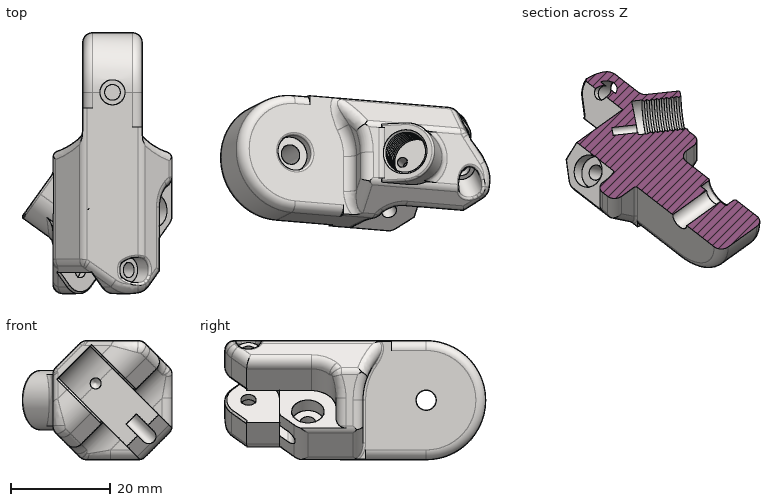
import cadquery as cq
import math

HEIGHT = 24.0
LENGTH = 52.5
HALF = HEIGHT / 2
FRONT_Y = HALF - LENGTH
BODY_CHAMFER = HALF / 2
DIAGONAL = (2 * HALF - BODY_CHAMFER) / math.sqrt(2)
EDGE_FILLET = 2.0
FLAT_HALF = BODY_CHAMFER - EDGE_FILLET * math.tan(math.pi / 8)

TAB_HALF = HALF / 2
TAB_ROOT = 15.75
LEFT_CLEARANCE_R = 12.5
LEFT_ROOT_FILLET = EDGE_FILLET
RIGHT_CLEARANCE_R = 12.7
RIGHT_ROOT_FILLET = 0.5
TAB_HOLE_R = 2.0
TAB_BORE_R = 3.55
TAB_BORE_DEPTH = 2.5
TOP_BORE_R = 2.5
TOP_BORE_DEPTH = 6.0
TOP_PILOT_R = 1.6
TOP_PILOT_DEPTH = 8.0
HOLE_RIM = 0.45

EAR_TIP_R = 4.8
PIN_V = -4.6
PIN_Y = FRONT_Y + EAR_TIP_R
FLANK_V = 1.8
FLANK_ARC_R = 5.0
FLANK_ARC_Y = -23.1
EAR_RIM = 0.4
GROOVE_HALF = 4.5
POCKET_R = 6.25
FLOOR_Y = PIN_Y + POCKET_R
PIN_HOLE_R = 1.5
PIN_HEAD_R = 2.5
TOP_HEAD_SEAT = 9.25
LEFT_HEAD_SEAT = 6.0

RAMP_V = 8.6
RAMP_BLEND_R = 4.0
SLOT_START_V = 5.35
SLOT_R = 1.45
SLOT_DEPTH = 3.15
TONGUE_HOLE_V = 7.7
TONGUE_HOLE_Y = -23.8
TONGUE_HOLE_R = 1.5
TONGUE_BORE_R = 3.25
TONGUE_BORE_DEPTH = 3.0
FLOOR_HOLE_V = -4.8
FLOOR_HOLE_R = 1.1
FLOOR_HOLE_DEPTH = 5.0

PORT_ANGLE = 35.6
PORT_R = BODY_CHAMFER
PORT_X = -14.8
PORT_Y = -20.25
PORT_RIM = 0.4
PORT_LENGTH = 8.9
PORT_WEB = 5.15
PORT_FILLET = 1.75
THREAD_R = 4.5
THREAD_DEPTH = 0.4
THREAD_PITCH = 1.0
THREAD_TURNS = 8
BORE_DEPTH = 9.95
DUCT_R = 1.0
DUCT_OFFSET = 2.95
DUCT_DEPTH = 5.0

FAR = 2 * LENGTH
TOUCH = 0.01
PARALLEL = 0.999
SIN45 = math.sqrt(0.5)


def clevis_plane(u):
    """Plane across the ears: local x is v, local y is Y, normal is u."""
    return cq.Plane(origin=(u * SIN45, 0, u * SIN45), xDir=(1, 0, -1), normal=(1, 0, 1))


def clevis_point(v, y):
    """Point in the middle plane of the clevis."""
    return (v * SIN45, y, -v * SIN45)


def u_of(point):
    return (point.x + point.z) * SIN45


def v_of(point):
    return (point.x - point.z) * SIN45


def edge_points(edge):
    """Points near both ends and in the middle of an edge."""
    return [edge.positionAt(place) for place in (0.05, 0.5, 0.95)]


def fillet_where(solid, test, radius):
    edges = [edge for edge in solid.edges().vals() if test(edge)]
    return solid.newObject(edges).fillet(radius)


def across_ears(v, y, radius, start, end):
    """Cylinder along u from start to end."""
    return cq.Workplane(clevis_plane(start)).center(v, y).circle(radius).extrude(end - start)


def octagon_bar():
    blank = cq.Workplane("XZ").rect(HEIGHT, HEIGHT).extrude(-FRONT_Y)
    return blank.edges("|Y").chamfer(BODY_CHAMFER)


TIP_SLANT = EAR_TIP_R * SIN45
SLANT_Y = PIN_Y - TIP_SLANT
SLANT_LEFT_V = PIN_V - TIP_SLANT
SLANT_RIGHT_V = PIN_V + TIP_SLANT
FLANK_CORNER_Y = SLANT_Y + FLANK_V - SLANT_RIGHT_V


def ear_nose(u):
    """Open outline up the left slant, round the tip, to the start of the right slant."""
    return (
        cq.Workplane(clevis_plane(u))
        .moveTo(-FAR, FAR)
        .lineTo(-FAR, SLANT_Y + SLANT_LEFT_V + FAR)
        .lineTo(SLANT_LEFT_V, SLANT_Y)
        .threePointArc((PIN_V, FRONT_Y), (SLANT_RIGHT_V, SLANT_Y))
    )


def ear_profile():
    """Side shape of the ears: the nose, then a flank set back by a concave arc."""
    arc_v = FLANK_V + FLANK_ARC_R
    arc_reach = FLANK_ARC_R * SIN45
    step_y = FLANK_ARC_Y + FLANK_ARC_R
    return (
        ear_nose(-FAR)
        .lineTo(FLANK_V, FLANK_CORNER_Y)
        .lineTo(FLANK_V, FLANK_ARC_Y)
        .threePointArc((arc_v - arc_reach, FLANK_ARC_Y + arc_reach), (arc_v, step_y))
        .lineTo(FAR, step_y)
        .lineTo(FAR, FAR)
        .close()
        .extrude(2 * FAR)
    )


def is_ear_rim(edge):
    """True where the ear profile meets the outside of the bar."""
    middle = edge.Center()
    direction = edge.tangentAt(0.5)
    at_rear = middle.y > -TOUCH
    long_corner = abs(direction.y) > PARALLEL and edge.Length() > TAB_ROOT
    spans_ears = abs(u_of(direction)) > PARALLEL and abs(u_of(middle)) < TOUCH
    on_corner_flat = abs(v_of(middle)) > DIAGONAL - TOUCH
    return not (at_rear or long_corner or (spans_ears and not on_corner_flat))


bar = octagon_bar().edges("|Y").fillet(EDGE_FILLET)
front_body = fillet_where(bar.intersect(ear_profile()), is_ear_rim, EDGE_FILLET)


def beside_tab(side):
    """Half space outside one face of the tab."""
    return cq.Workplane("XY").box(FAR, 2 * FAR, FAR).translate((side * (FAR / 2 + TAB_HALF), 0, 0))


def swing_clearance(radius):
    """Space behind the body: round about the X axis above it, straight below it."""
    return (
        cq.Workplane("YZ", origin=(-FAR, 0, 0))
        .moveTo(FAR, FAR)
        .lineTo(0, FAR)
        .lineTo(0, radius)
        .threePointArc((-radius * SIN45, radius * SIN45), (-radius, 0))
        .lineTo(-radius, -FAR)
        .lineTo(FAR, -FAR)
        .close()
        .extrude(2 * FAR)
    )


def on_swing(edge, radius):
    """True where an edge follows the clearance surface, other than straight across it."""
    for point in edge_points(edge):
        distance = math.hypot(point.y, point.z) if point.z > 0 else -point.y
        if abs(distance - radius) > TOUCH:
            return False
    return abs(edge.tangentAt(0.5).x) < PARALLEL


def at_tab_face(edge):
    return abs(abs(edge.Center().x) - TAB_HALF) < TOUCH


def body_side(side, radius):
    """Part of the body beside the tab, its rear edge rounded."""
    block = octagon_bar().intersect(beside_tab(side)).cut(swing_clearance(radius))
    block = fillet_where(block, lambda edge: on_swing(edge, radius) and not at_tab_face(edge), EDGE_FILLET)
    return block.intersect(front_body)


def rear_tab():
    root = cq.Workplane("XY").box(2 * TAB_HALF, TAB_ROOT, HEIGHT).translate((0, -TAB_ROOT / 2, 0))
    tab = cq.Workplane("YZ").circle(HALF).extrude(TAB_HALF, both=True).union(root)
    return tab.faces("|X").edges(">Y or |Y").fillet(EDGE_FILLET)


def tab_edge_waste(side, level, end_y):
    """Material outside the rounding of one long tab edge, from the round end forward."""
    centre_x = side * (TAB_HALF - EDGE_FILLET)
    centre_z = level * (HALF - EDGE_FILLET)
    reach = EDGE_FILLET * SIN45
    return (
        cq.Workplane("XZ")
        .moveTo(centre_x, level * HALF)
        .threePointArc(
            (centre_x + side * reach, centre_z + level * reach),
            (side * TAB_HALF, centre_z),
        )
        .lineTo(side * HALF, centre_z)
        .lineTo(side * HALF, level * HEIGHT)
        .lineTo(centre_x, level * HEIGHT)
        .close()
        .extrude(-end_y)
    )


SIDES = (
    (-1, LEFT_CLEARANCE_R, LEFT_ROOT_FILLET),
    (1, RIGHT_CLEARANCE_R, RIGHT_ROOT_FILLET),
)

part = front_body.cut(beside_tab(1)).cut(beside_tab(-1)).union(rear_tab())
for side, clearance, root_fillet in SIDES:
    part = part.union(body_side(side, clearance))
for side, clearance, root_fillet in SIDES:
    part = fillet_where(part, lambda edge: on_swing(edge, clearance) and at_tab_face(edge), root_fillet)
for side, clearance, root_fillet in SIDES:
    root_r = clearance - root_fillet
    top_end_y = -math.sqrt(root_r**2 - (HALF - EDGE_FILLET) ** 2)
    part = part.cut(tab_edge_waste(side, 1, top_end_y))
    part = part.cut(tab_edge_waste(side, -1, -root_r))


tilt = math.radians(PORT_ANGLE)
port_plane = cq.Plane(
    origin=(PORT_X, PORT_Y, 0), xDir=(0, 0, 1), normal=(-math.cos(tilt), math.sin(tilt), 0)
)


def port_boss():
    """Round boss whose sides run straight on, towards the rear, into the body."""
    return (
        cq.Workplane(port_plane)
        .moveTo(-PORT_R, PORT_WEB)
        .lineTo(-PORT_R, 0)
        .threePointArc((0, -PORT_R), (PORT_R, 0))
        .lineTo(PORT_R, PORT_WEB)
        .close()
        .extrude(-PORT_LENGTH)
    )


def is_port_foot(edge):
    """True where the boss meets the left face, away from the outline of that face."""
    middle = edge.Center()
    on_face = abs(middle.x + HALF) < TOUCH
    return on_face and abs(middle.z) < HALF and abs(middle.y - PORT_Y) < HEIGHT


def is_port_mouth(edge):
    return edge.geomType() == "CIRCLE" and edge.Center().x < -HALF - PORT_RIM


def port_blend():
    """Boss with a fillet around its foot, kept to the flat of the left face."""
    wall = cq.Workplane("XY").box(HALF, LENGTH, LENGTH).translate((-HALF / 2, PORT_Y, 0))
    joined = fillet_where(wall.union(port_boss()), is_port_foot, PORT_FILLET)
    joined = fillet_where(joined, is_port_mouth, PORT_RIM)
    beside_flat = cq.Workplane("XY").box(HEIGHT, LENGTH, 2 * FLAT_HALF).translate((-HEIGHT, PORT_Y, 0))
    return joined.intersect(beside_flat)


def threaded_bore():
    """Plain bore with V-shaped ring ridges over its outer part."""
    outline = cq.Workplane("XY").moveTo(0, HEIGHT).lineTo(THREAD_R, HEIGHT).lineTo(THREAD_R, 0)
    for turn in range(THREAD_TURNS):
        outline = outline.lineTo(THREAD_R - THREAD_DEPTH, -(turn + 0.5) * THREAD_PITCH)
        outline = outline.lineTo(THREAD_R, -(turn + 1) * THREAD_PITCH)
    outline = outline.lineTo(THREAD_R, -BORE_DEPTH).lineTo(0, -BORE_DEPTH).close()
    bore = outline.revolve(360, (0, 0, 0), (0, 1, 0)).val()
    upright = cq.Plane(origin=port_plane.origin, xDir=(0, 0, 1), normal=port_plane.yDir * -1)
    return cq.Workplane(bore.moved(cq.Location(upright)))


def port_duct():
    """Small hole in the floor of the bore, off centre towards the rear."""
    floor = cq.Workplane(port_plane).workplane(offset=-BORE_DEPTH)
    return floor.center(0, DUCT_OFFSET).circle(DUCT_R).extrude(-DUCT_DEPTH)


outermost = cq.selectors.DirectionMinMaxSelector(port_plane.zDir)
rounded_boss = port_boss().faces(outermost).edges().fillet(PORT_RIM)
part = part.union(rounded_boss).union(port_blend())
part = part.cut(threaded_bore()).cut(port_duct())


def groove():
    """Slot with a quarter-round pocket about the pin and a flat floor beyond it."""
    reach = POCKET_R * SIN45
    return (
        cq.Workplane(clevis_plane(-GROOVE_HALF))
        .moveTo(PIN_V - POCKET_R, -FAR)
        .lineTo(PIN_V - POCKET_R, PIN_Y)
        .threePointArc((PIN_V - reach, PIN_Y + reach), (PIN_V, FLOOR_Y))
        .lineTo(FAR, FLOOR_Y)
        .lineTo(FAR, -FAR)
        .close()
        .extrude(2 * GROOVE_HALF)
    )


def ear_rim_waste(side):
    """Material outside the chamfer along the inner edge of one ear nose."""
    outer_u = side * (GROOVE_HALF + EAR_RIM)
    nose = ear_nose(outer_u).lineTo(FAR, SLANT_Y + FAR - SLANT_RIGHT_V).lineTo(FAR, FAR).close()
    nose = nose.extrude(-side * EAR_RIM, taper=45)
    slab = (
        cq.Workplane(clevis_plane(outer_u))
        .moveTo(PIN_V - POCKET_R, -FAR)
        .lineTo(PIN_V - POCKET_R, PIN_Y)
        .lineTo(FLANK_V, FLANK_CORNER_Y)
        .lineTo(FLANK_V, -FAR)
        .close()
        .extrude(-side * EAR_RIM)
    )
    return slab.cut(nose)


part = part.cut(groove())
for side in (-1, 1):
    part = part.cut(ear_rim_waste(side))


def tongue():
    """Web between the ears, its front corner cut back by a 45-degree ramp."""
    ramp_end_y = FLOOR_Y + DIAGONAL - RAMP_V
    web = (
        cq.Workplane(clevis_plane(-GROOVE_HALF))
        .moveTo(0, FLOOR_Y)
        .lineTo(RAMP_V, FLOOR_Y)
        .lineTo(DIAGONAL, ramp_end_y)
        .lineTo(DIAGONAL, -TAB_ROOT)
        .lineTo(0, -TAB_ROOT)
        .close()
        .extrude(2 * GROOVE_HALF)
    )
    ramp_end = cq.selectors.NearestToPointSelector(clevis_point(DIAGONAL, ramp_end_y))
    return web.edges(ramp_end).fillet(RAMP_BLEND_R).intersect(bar)


def slot():
    """Round-bottomed slot along the tongue, open to the front."""
    start = cq.Plane(
        origin=clevis_point(SLOT_START_V, FLOOR_Y + SLOT_DEPTH - SLOT_R),
        xDir=(0, 1, 0),
        normal=(1, 0, -1),
    )
    opening = cq.Workplane(start).center(-HALF, 0).rect(HEIGHT, 2 * SLOT_R).extrude(FAR)
    return cq.Workplane(start).circle(SLOT_R).extrude(FAR).union(opening)


part = part.union(tongue()).cut(slot())
part = part.cut(across_ears(TONGUE_HOLE_V, TONGUE_HOLE_Y, TONGUE_HOLE_R, -FAR, GROOVE_HALF))
bore_floor = GROOVE_HALF - TONGUE_BORE_DEPTH
part = part.cut(across_ears(TONGUE_HOLE_V, TONGUE_HOLE_Y, TONGUE_BORE_R, bore_floor, GROOVE_HALF))


def is_pin_mouth(edge):
    """True where a pin counterbore opens on the outside of an ear."""
    for point in edge_points(edge):
        distance = math.hypot(v_of(point) - PIN_V, point.y - PIN_Y)
        if abs(distance - PIN_HEAD_R) > TOUCH or abs(u_of(point)) < TOP_HEAD_SEAT + TOUCH:
            return False
    return abs(u_of(edge.tangentAt(0.5))) < PARALLEL


def floor_hole():
    """Drilled hole with a conical end."""
    plane = cq.Workplane("XY", origin=clevis_point(FLOOR_HOLE_V, FLOOR_Y))
    outline = plane.moveTo(0, -POCKET_R).lineTo(FLOOR_HOLE_R, -POCKET_R)
    outline = outline.lineTo(FLOOR_HOLE_R, FLOOR_HOLE_DEPTH).lineTo(0, FLOOR_HOLE_DEPTH + FLOOR_HOLE_R)
    return outline.close().revolve(360, (0, 0, 0), (0, 1, 0))


part = part.cut(across_ears(PIN_V, PIN_Y, PIN_HOLE_R, -FAR, FAR))
part = part.cut(across_ears(PIN_V, PIN_Y, PIN_HEAD_R, TOP_HEAD_SEAT, FAR))
part = part.cut(across_ears(PIN_V, PIN_Y, PIN_HEAD_R, -FAR, -LEFT_HEAD_SEAT))
part = fillet_where(part, is_pin_mouth, HOLE_RIM)
part = part.cut(floor_hole())

part = part.cut(cq.Workplane("YZ").circle(TAB_HOLE_R).extrude(TAB_HALF, both=True))
part = part.cut(cq.Workplane("YZ", origin=(-TAB_HALF, 0, 0)).circle(TAB_BORE_R).extrude(TAB_BORE_DEPTH))


def is_tab_bore_mouth(edge):
    for point in edge_points(edge):
        if abs(point.x + TAB_HALF) > TOUCH or abs(math.hypot(point.y, point.z) - TAB_BORE_R) > TOUCH:
            return False
    return True


part = fillet_where(part, is_tab_bore_mouth, HOLE_RIM)
tab_top = cq.Workplane("XY", origin=(0, 0, HALF))
part = part.cut(tab_top.circle(TOP_BORE_R).extrude(-TOP_BORE_DEPTH))
part = part.cut(tab_top.circle(TOP_PILOT_R).extrude(-TOP_PILOT_DEPTH))

result = part